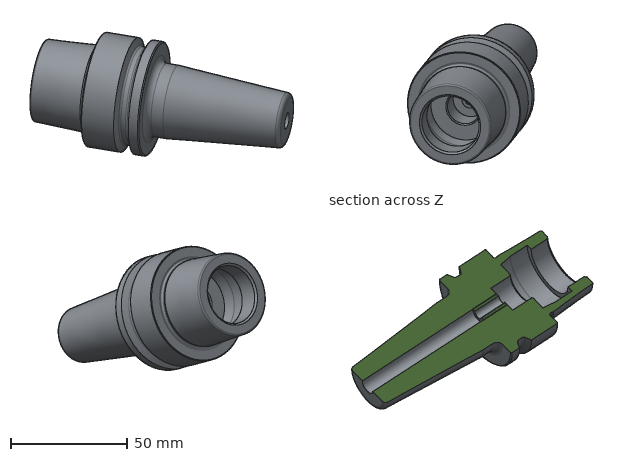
import cadquery as cq
import math

TOTAL_LENGTH = 109.9

SHANK_REAR_RADIUS = 18.0
SHANK_FRONT_RADIUS = 19.1
SHANK_TAPER_LENGTH = 22.9
SHANK_REAR_ROUND = 0.7

RELIEF_RADIUS = 18.9
RELIEF_START = 23.5
RELIEF_END = 24.2
FACE_ROOT_FILLET = 0.9
FACE_RECESS_RADIUS = 20.3

FLANGE_DIAMETER = 50.0
FLANGE_RADIUS = FLANGE_DIAMETER / 2
FLANGE_START = 25.0
FLANGE_END = 50.8
FLANGE_REAR_CHAMFER = 0.3
FLANGE_FRONT_CHAMFER = 0.5
GRIP_START = 39.6
GRIP_END = 46.2
GRIP_WALL_RUN = 1.6
GRIP_FLOOR_RADIUS = 21.4
GRIP_FILLET = 1.0

NECK_RADIUS = 16.0
NECK_FILLET = 3.0
NECK_END = 59.0
TIP_RADIUS = 12.0
TIP_ROUND = 2.0

MOUTH_RADIUS = 12.6
MOUTH_CHAMFER = 0.9
MOUTH_DEPTH = 9.8
CLAMP_RADIUS = 15.4
CLAMP_END = 19.1
CAVITY_FLOOR_RADIUS = 14.5
CAVITY_DEPTH = FLANGE_START

SOCKET_RADIUS = 7.4
SOCKET_CHAMFER = 0.5
SOCKET_DEPTH = 11.0
SCREW_RADIUS = 3.5
SCREW_HOLE_RADIUS = 2.1
SCREW_LENGTH = 13.2
SCREW_START = CAVITY_DEPTH + SOCKET_DEPTH


def turn(profile):
    """Revolve a closed half-section drawn in the XZ plane about the X axis."""
    return profile.close().revolve(360, (0, 0, 0), (1, 0, 0))


def cylinder(start, length, radius):
    """Cylinder on the X axis."""
    return cq.Workplane("YZ", origin=(start, 0, 0)).circle(radius).extrude(length)


def arc_middle(center_x, center_r, radius, degrees):
    """Point on a circle in the half-section, measured from +X towards +Z."""
    angle = math.radians(degrees)
    return center_x + radius * math.cos(angle), center_r + radius * math.sin(angle)


def make_outer_form():
    recess_floor = RELIEF_END + FACE_ROOT_FILLET
    root_radius = RELIEF_RADIUS + FACE_ROOT_FILLET
    root_middle = arc_middle(RELIEF_END, root_radius, FACE_ROOT_FILLET, -45)
    neck_fillet_end = FLANGE_END + NECK_FILLET
    neck_fillet_radius = NECK_RADIUS + NECK_FILLET
    neck_middle = arc_middle(neck_fillet_end, neck_fillet_radius, NECK_FILLET, -135)

    form = turn(
        cq.Workplane("XZ")
        .moveTo(0, 0)
        .lineTo(0, SHANK_REAR_RADIUS)
        .lineTo(SHANK_TAPER_LENGTH, SHANK_FRONT_RADIUS)
        .lineTo(RELIEF_START, RELIEF_RADIUS)
        .lineTo(RELIEF_END, RELIEF_RADIUS)
        .threePointArc(root_middle, (recess_floor, root_radius))
        .lineTo(FLANGE_START, FACE_RECESS_RADIUS)
        .lineTo(FLANGE_START, FLANGE_RADIUS - FLANGE_REAR_CHAMFER)
        .lineTo(FLANGE_START + FLANGE_REAR_CHAMFER, FLANGE_RADIUS)
        .lineTo(FLANGE_END - FLANGE_FRONT_CHAMFER, FLANGE_RADIUS)
        .lineTo(FLANGE_END, FLANGE_RADIUS - FLANGE_FRONT_CHAMFER)
        .lineTo(FLANGE_END, neck_fillet_radius)
        .threePointArc(neck_middle, (neck_fillet_end, NECK_RADIUS))
        .lineTo(NECK_END, NECK_RADIUS)
        .lineTo(TOTAL_LENGTH, TIP_RADIUS)
        .lineTo(TOTAL_LENGTH, 0)
    )
    form = form.faces("<X").edges().fillet(SHANK_REAR_ROUND)
    return form.faces(">X").edges().fillet(TIP_ROUND)


def make_grip_groove():
    """V-walled ring that cuts the gripper groove, with rounded floor corners."""
    ring = turn(
        cq.Workplane("XZ")
        .moveTo(GRIP_START, FLANGE_RADIUS)
        .lineTo(GRIP_START + GRIP_WALL_RUN, GRIP_FLOOR_RADIUS)
        .lineTo(GRIP_END - GRIP_WALL_RUN, GRIP_FLOOR_RADIUS)
        .lineTo(GRIP_END, FLANGE_RADIUS)
    )
    floor_edges = cq.selectors.RadiusNthSelector(0)
    return ring.edges("%CIRCLE").edges(floor_edges).fillet(GRIP_FILLET)


def make_cavity():
    """Chamfered mouth, undercut that narrows to the cavity floor, and coolant socket."""
    return turn(
        cq.Workplane("XZ")
        .moveTo(0, 0)
        .lineTo(0, MOUTH_RADIUS + MOUTH_CHAMFER)
        .lineTo(MOUTH_CHAMFER, MOUTH_RADIUS)
        .lineTo(MOUTH_DEPTH, MOUTH_RADIUS)
        .lineTo(MOUTH_DEPTH, CLAMP_RADIUS)
        .lineTo(CLAMP_END, CLAMP_RADIUS)
        .lineTo(CAVITY_DEPTH, CAVITY_FLOOR_RADIUS)
        .lineTo(CAVITY_DEPTH, SOCKET_RADIUS + SOCKET_CHAMFER)
        .lineTo(CAVITY_DEPTH + SOCKET_CHAMFER, SOCKET_RADIUS)
        .lineTo(SCREW_START, SOCKET_RADIUS)
        .lineTo(SCREW_START, 0)
    )


def make_holder():
    screw_bore = cylinder(SCREW_START, TOTAL_LENGTH - SCREW_START, SCREW_RADIUS)
    return make_outer_form().cut(make_grip_groove()).cut(make_cavity()).cut(screw_bore)


def make_stop_screw():
    """Hollow screw filling the start of the screw bore, flush with the socket floor."""
    body = cylinder(SCREW_START, SCREW_LENGTH, SCREW_RADIUS)
    return body.cut(cylinder(SCREW_START, SCREW_LENGTH, SCREW_HOLE_RADIUS))


holder = make_holder()
stop_screw = make_stop_screw()
result = cq.Compound.makeCompound([holder.val(), stop_screw.val()])